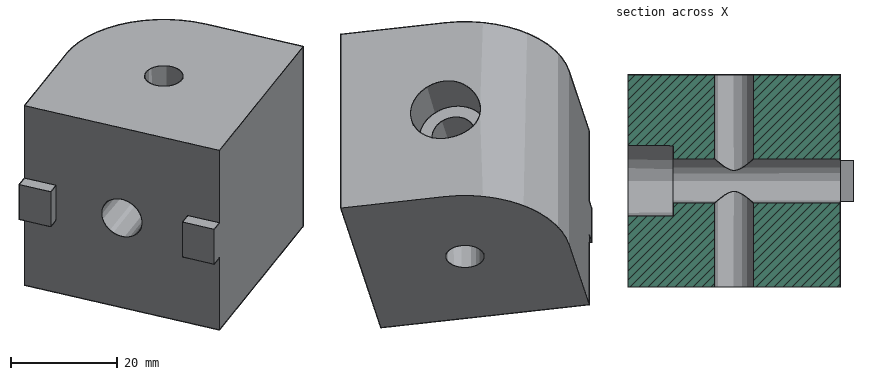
import cadquery as cq

total_depth = 42.5
tab_length = 2.5
tab_width = 6.5
tab_height = 7.78
vertical_hole_diameter = 7.22
cross_hole_diameter = 8.25
counterbore_diameter = 13.18
counterbore_depth = 8.5

side = total_depth - tab_length
half_side = side / 2


def rounded_block():
    block = cq.Workplane("XY").box(side, side, side)
    return block.edges("|Z and <X and >Y").fillet(half_side)


def locating_tab(direction):
    """Tab on the -Y face, flush with the -X or +X side."""
    center_x = direction * (half_side - tab_width / 2)
    center_y = -half_side - tab_length / 2
    return cq.Workplane("XY").box(tab_width, tab_length, tab_height).translate((center_x, center_y, 0))


def vertical_hole():
    return cq.Workplane("XY").circle(vertical_hole_diameter / 2).extrude(half_side, both=True)


def counterbored_cross_hole():
    """Through hole along Y, counterbored from the +Y face."""
    bore = cq.Workplane("XZ").circle(cross_hole_diameter / 2).extrude(half_side, both=True)
    counterbore = (
        cq.Workplane("XZ", origin=(0, half_side, 0))
        .circle(counterbore_diameter / 2)
        .extrude(counterbore_depth)
    )
    return bore.union(counterbore)


result = rounded_block()
for direction in (-1, 1):
    result = result.union(locating_tab(direction))
result = result.cut(vertical_hole()).cut(counterbored_cross_hole())